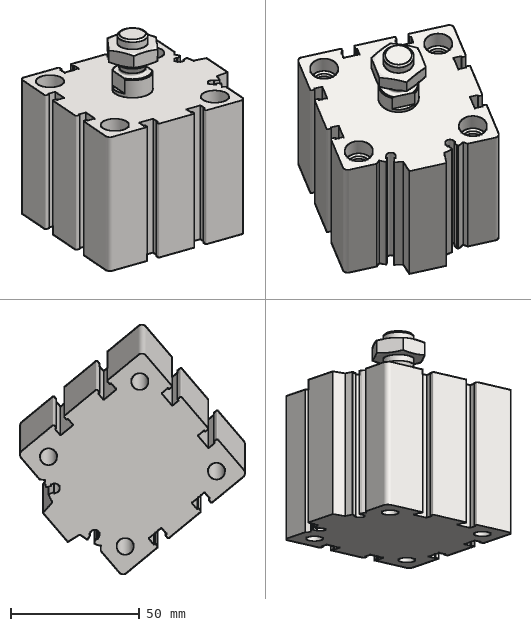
import cadquery as cq
import math

ARC_INSET = 1 - math.sqrt(0.5)

housing_width = 63.5
half_width = housing_width / 2
housing_height = 58.05
overall_depth = 71.0
corner_radius = 2.0

lug_tip_y = overall_depth - half_width
lug_tip_half_width = 7.55
lug_root = (8.4, 33.8)
lug_shoulder = (11.8, 32.9)

groove_outer_x = 18.5
groove_bottom = (17.05, 30.3)
groove_inner = (15.75, 31.3)
groove_ridge_x = 14.7

keyhole_centre = (12.05, 29.35)
keyhole_diameter = 3.8
keyhole_mouth_width = 2.8
keyhole_mouth_length = 4.9
keyhole_lip_height = 1.0
keyhole_tilt = 20

slot_side_angles = (-90, 0, 90)
slot_offset = 11.0
slot_mouth_width = 5.2
slot_inner_width = 6.5
slot_depth = 5.0
slot_lip = 1.8
slot_edge_radius = 0.4

hole_spacing = 46.5
hole_diameter = 6.65
hole_countersink_diameter = 8.0
counterbore_diameter = 11.0
counterbore_depth = 7.0

rod_diameter = 16.0
rod_top = 66.0
rod_chamfer = 0.4
flat_width = 13.0
flat_bottom = housing_height + 1.5
neck_diameter = 10.2
neck_fillet = 0.5
neck_top = 67.2
thread_diameter = 12.0
thread_bottom = 69.6
thread_top = 82
thread_chamfer = 0.8

nut_width = 19.0
nut_height = 6.0
nut_bottom = 72.1
nut_face_diameter = 18.7
nut_chamfer_height = 0.5


def mirrored(point):
    return (-point[0], point[1])


def housing_block():
    """Extruded outline, symmetrical about X = 0, with its four outer corners rounded."""
    half_outline = [
        (half_width, -half_width),
        (half_width, half_width),
        (groove_outer_x, half_width),
        groove_bottom,
        groove_inner,
        (groove_ridge_x, half_width),
        keyhole_centre,
        lug_shoulder,
        lug_root,
        (lug_tip_half_width, lug_tip_y),
    ]
    outline = half_outline + [mirrored(point) for point in reversed(half_outline)]
    block = cq.Workplane("XY").polyline(outline).close().extrude(housing_height)
    return block.edges("|Z and (<X or >X)").fillet(corner_radius)


def t_slot():
    """T-slot cutter opening at Y = 0 and running into +Y."""
    half_mouth = slot_mouth_width / 2
    half_inner = slot_inner_width / 2
    flare = half_mouth + slot_edge_radius
    bend = slot_edge_radius * ARC_INSET
    return (
        cq.Workplane("XY")
        .moveTo(-flare, 0)
        .threePointArc((-half_mouth - bend, bend), (-half_mouth, slot_edge_radius))
        .lineTo(-half_mouth, slot_lip)
        .lineTo(-half_inner, slot_lip)
        .lineTo(-half_inner, slot_depth)
        .lineTo(half_inner, slot_depth)
        .lineTo(half_inner, slot_lip)
        .lineTo(half_mouth, slot_lip)
        .lineTo(half_mouth, slot_edge_radius)
        .threePointArc((half_mouth + bend, bend), (flare, 0))
        .close()
        .extrude(housing_height)
    )


def keyhole(side):
    """Keyhole cutter: a U-shaped bottom under two lips, with a mouth tilted away from the lug."""
    radius = keyhole_diameter / 2
    half_mouth = keyhole_mouth_width / 2
    cutter = (
        cq.Workplane("XY")
        .moveTo(-radius, 0)
        .threePointArc((0, -radius), (radius, 0))
        .lineTo(radius, keyhole_lip_height)
        .lineTo(half_mouth, keyhole_lip_height)
        .lineTo(half_mouth, keyhole_mouth_length)
        .lineTo(-half_mouth, keyhole_mouth_length)
        .lineTo(-half_mouth, keyhole_lip_height)
        .lineTo(-radius, keyhole_lip_height)
        .close()
        .extrude(housing_height)
    )
    cutter = cutter.rotate((0, 0, 0), (0, 0, 1), -side * keyhole_tilt)
    return cutter.translate((side * keyhole_centre[0], keyhole_centre[1], 0))


def mounting_hole():
    """Stepped hole cutter: counterbore, countersink and through hole."""
    hole_radius = hole_diameter / 2
    countersink_radius = hole_countersink_diameter / 2
    counterbore_radius = counterbore_diameter / 2
    floor = housing_height - counterbore_depth
    return (
        cq.Workplane("XZ")
        .polyline(
            [
                (0, 0),
                (hole_radius, 0),
                (hole_radius, floor - (countersink_radius - hole_radius)),
                (countersink_radius, floor),
                (counterbore_radius, floor),
                (counterbore_radius, housing_height),
                (0, housing_height),
            ]
        )
        .close()
        .revolve(360, (0, 0, 0), (0, 1, 0))
    )


def make_housing():
    """Block with T-slots on three sides, two keyhole slots and four mounting holes."""
    body = housing_block()
    for turn in slot_side_angles:
        for offset in (-slot_offset, slot_offset):
            slot = t_slot().translate((offset, -half_width, 0))
            body = body.cut(slot.rotate((0, 0, 0), (0, 0, 1), turn))
    for side in (-1, 1):
        body = body.cut(keyhole(side))
    for x in (-hole_spacing / 2, hole_spacing / 2):
        for y in (-hole_spacing / 2, hole_spacing / 2):
            body = body.cut(mounting_hole().translate((x, y, 0)))
    return body


def make_rod():
    """Rod standing on the housing's top face, with two wrench flats and a threaded end."""
    rod_radius = rod_diameter / 2
    thread_radius = thread_diameter / 2
    neck_radius = neck_diameter / 2
    fillet_bend = neck_fillet * ARC_INSET
    fillet_middle = (neck_radius + fillet_bend, rod_top + fillet_bend)
    profile = (
        cq.Workplane("XZ")
        .moveTo(0, housing_height)
        .lineTo(rod_radius, housing_height)
        .lineTo(rod_radius, rod_top - rod_chamfer)
        .lineTo(rod_radius - rod_chamfer, rod_top)
        .lineTo(neck_radius + neck_fillet, rod_top)
        .threePointArc(fillet_middle, (neck_radius, rod_top + neck_fillet))
        .lineTo(neck_radius, neck_top)
        .lineTo(thread_radius, thread_bottom)
        .lineTo(thread_radius, thread_top - thread_chamfer)
        .lineTo(thread_radius - thread_chamfer, thread_top)
        .lineTo(0, thread_top)
        .close()
    )
    rod = profile.revolve(360, (0, 0, 0), (0, 1, 0))
    flat_height = rod_top - flat_bottom
    flat_cut = (rod_diameter - flat_width) / 2
    for side in (-1, 1):
        flat = (
            cq.Workplane("XY", origin=(0, side * (flat_width + flat_cut) / 2, flat_bottom))
            .rect(rod_diameter, flat_cut)
            .extrude(flat_height)
        )
        rod = rod.cut(flat)
    return rod


def make_nut():
    """Hexagon with corners on the +Y and -Y sides, chamfered on both faces."""
    hexagon_radius = nut_width / math.sqrt(3)
    nut_top = nut_bottom + nut_height
    quarter_turn = 90
    hexagon = (
        cq.Workplane("XY", origin=(0, 0, nut_bottom))
        .polygon(6, 2 * hexagon_radius)
        .extrude(nut_height)
        .rotate((0, 0, 0), (0, 0, 1), quarter_turn)
    )
    chamfered_disc = (
        cq.Workplane("XZ")
        .polyline(
            [
                (thread_diameter / 2, nut_bottom),
                (nut_face_diameter / 2, nut_bottom),
                (hexagon_radius, nut_bottom + nut_chamfer_height),
                (hexagon_radius, nut_top - nut_chamfer_height),
                (nut_face_diameter / 2, nut_top),
                (thread_diameter / 2, nut_top),
            ]
        )
        .close()
        .revolve(360, (0, 0, 0), (0, 1, 0))
    )
    return hexagon.intersect(chamfered_disc)


housing = make_housing()
rod = make_rod()
nut = make_nut()

result = cq.Compound.makeCompound([body.solids().val() for body in (housing, rod, nut)])